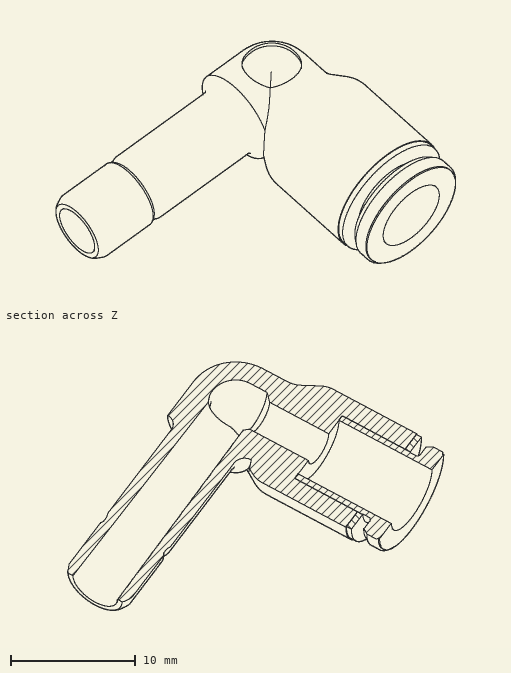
import cadquery as cq
import math


ELBOW_R = 3.97
PASSAGE_R = 2.18
PASSAGE_STRAIGHT = 1.58
NARROW_R = 1.5

STEM_R = 3.0
STEM_END = 20.95
STEM_BORE_MOUTH_R = 2.1
STEM_BORE_END_R = 1.87
COLLAR_END = 3.95
FLARE_R = ELBOW_R - STEM_R
GROOVE_R = 2.86
GROOVE_START = 14.32
GROOVE_FLOOR_START = 14.87
GROOVE_FLOOR_END = 15.2
GROOVE_END = 15.45
TIP_START = 20.18
TIP_EDGE_FILLET = 0.25
NOSE_START = 20.73
NOSE_R = 2.745
END_FACE_R = 2.55

RELIEF_DEPTH = 1.31
RELIEF_GROWTH = 0.53

BARREL_R = 5.32
BARREL_END = 13.85
SHOULDER_END = 5.88
SHOULDER_ANGLE = math.radians(30)
SHOULDER_BEND_R = 2.1
SOCKET_START = 7.88

RECESS_R = 2.4
RECESS_DEPTH = 0.3

CAP_R = 5.24
CAP_END = 14.32

COLLET_R = 3.52
COLLET_BORE_R = 3.02
BUTTON_START = 15.1
BUTTON_R = 4.97
BUTTON_BACK_R = 4.65
BUTTON_RIM_START = 15.6
BUTTON_FACE = 16.58
BUTTON_EDGE_R = 0.13
NECK_FILLET = 0.24
BAND_R = 4.78
BAND_END = 16.7


def revolve_x(profile):
    """Close an (x, radius) profile and turn it about the X axis."""
    return profile.close().revolve(360, (0, 0, 0), (1, 0, 0))


def revolve_y(profile):
    """Close a (radius, y) profile and turn it about the Y axis."""
    return profile.close().revolve(360, (0, 0, 0), (0, 1, 0))


def ring_x(start, end, outer_r, inner_r):
    """Plain ring along the X axis."""
    return cq.Workplane("YZ", origin=(start, 0, 0)).circle(outer_r).circle(inner_r).extrude(end - start)


def make_stem():
    """Collar, flare and grooved stem with a tapered, rounded end."""
    flare_mid = FLARE_R * math.sqrt(0.5)
    flare_end = COLLAR_END + FLARE_R
    groove_mid = ((STEM_R + GROOVE_R) / 2, -(GROOVE_START + GROOVE_FLOOR_START) / 2)
    profile = (
        cq.Workplane("XY")
        .lineTo(ELBOW_R, 0)
        .lineTo(ELBOW_R, -COLLAR_END)
        .threePointArc((ELBOW_R - flare_mid, -flare_end + flare_mid), (STEM_R, -flare_end))
        .lineTo(STEM_R, -GROOVE_START)
        .tangentArcPoint(groove_mid, relative=False)
        .tangentArcPoint((GROOVE_R, -GROOVE_FLOOR_START), relative=False)
        .lineTo(GROOVE_R, -GROOVE_FLOOR_END)
        .lineTo(STEM_R, -GROOVE_END)
        .lineTo(STEM_R, -TIP_START)
        .lineTo(NOSE_R, -NOSE_START)
        .tangentArcPoint((END_FACE_R, -STEM_END), relative=False)
        .lineTo(0, -STEM_END)
    )
    stem = revolve_y(profile)
    tip_edge = cq.selectors.BoxSelector(
        (-ELBOW_R, -TIP_START - 0.03, -ELBOW_R), (ELBOW_R, -TIP_START + 0.03, ELBOW_R)
    )
    return stem.edges(tip_edge).edges("%CIRCLE").fillet(TIP_EDGE_FILLET)


def make_barrel():
    """Arm along X that widens over a bent conical shoulder to the full barrel radius."""
    bend_run = SHOULDER_BEND_R * math.sin(SHOULDER_ANGLE)
    bend_rise = SHOULDER_BEND_R * (1 - math.cos(SHOULDER_ANGLE))
    cone_rise = BARREL_R - ELBOW_R - 2 * bend_rise
    cone_run = cone_rise / math.tan(SHOULDER_ANGLE)
    cone_end = SHOULDER_END - bend_run
    cone_start = cone_end - cone_run
    profile = (
        cq.Workplane("XY")
        .lineTo(0, ELBOW_R)
        .lineTo(cone_start - bend_run, ELBOW_R)
        .tangentArcPoint((cone_start, ELBOW_R + bend_rise), relative=False)
        .lineTo(cone_end, BARREL_R - bend_rise)
        .tangentArcPoint((SHOULDER_END, BARREL_R), relative=False)
        .lineTo(BARREL_END, BARREL_R)
        .lineTo(BARREL_END, 0)
    )
    return revolve_x(profile)


def make_relief():
    """Cone around the stem that clears the barrel shoulder from the flare."""
    profile = (
        cq.Workplane("XY")
        .moveTo(0, -COLLAR_END)
        .lineTo(ELBOW_R, -COLLAR_END)
        .lineTo(ELBOW_R + RELIEF_GROWTH, -COLLAR_END - RELIEF_DEPTH)
        .lineTo(0, -COLLAR_END - RELIEF_DEPTH)
    )
    return revolve_y(profile)


def make_recess():
    """Round recess whose floor runs parallel to the elbow surface."""
    floor_r = ELBOW_R - RECESS_DEPTH
    ball = cq.Workplane("XY").sphere(floor_r)
    socket_arm = cq.Workplane("YZ").circle(floor_r).extrude(ELBOW_R)
    stem_arm = cq.Workplane("XZ").circle(floor_r).extrude(ELBOW_R)
    plug = cq.Workplane("XY").circle(RECESS_R).extrude(BARREL_R)
    return plug.cut(ball).cut(socket_arm).cut(stem_arm)


def make_stem_bore():
    """Bore of the stem, tapering from its mouth to the corner."""
    profile = (
        cq.Workplane("XY")
        .lineTo(STEM_BORE_END_R, 0)
        .lineTo(STEM_BORE_MOUTH_R, -STEM_END)
        .lineTo(0, -STEM_END)
    )
    return revolve_y(profile)


def make_socket_bore():
    """Passage along X, its narrowing and the collet socket."""
    profile = (
        cq.Workplane("XY")
        .lineTo(0, PASSAGE_R)
        .lineTo(PASSAGE_STRAIGHT, PASSAGE_R)
        .lineTo(PASSAGE_STRAIGHT + PASSAGE_R - NARROW_R, NARROW_R)
        .lineTo(SOCKET_START, NARROW_R)
        .lineTo(SOCKET_START, COLLET_R)
        .lineTo(BARREL_END, COLLET_R)
        .lineTo(BARREL_END, 0)
    )
    return revolve_x(profile)


def make_housing():
    """Elbow body: stem, ball corner and barrel in one piece, bored through."""
    corner = cq.Workplane("XY").sphere(ELBOW_R)
    housing = make_barrel().cut(make_relief()).union(make_stem()).union(corner)
    housing = housing.cut(make_recess())
    corner_bore = cq.Workplane("XY").sphere(PASSAGE_R)
    return housing.cut(make_socket_bore()).cut(make_stem_bore()).cut(corner_bore)


def make_cap():
    """Ring that closes the barrel around the collet."""
    return ring_x(BARREL_END, CAP_END, CAP_R, COLLET_R)


def make_collet():
    """Release collet: sleeve in the socket with a push button outside."""
    edge_mid = BUTTON_EDGE_R * (1 - math.sqrt(0.5))
    profile = (
        cq.Workplane("XY")
        .moveTo(SOCKET_START, COLLET_BORE_R)
        .lineTo(SOCKET_START, COLLET_R)
        .lineTo(BUTTON_START - NECK_FILLET, COLLET_R)
        .tangentArcPoint((BUTTON_START, COLLET_R + NECK_FILLET), relative=False)
        .lineTo(BUTTON_START, BUTTON_BACK_R)
        .lineTo(BUTTON_RIM_START, BUTTON_R)
        .lineTo(BUTTON_FACE - BUTTON_EDGE_R, BUTTON_R)
        .threePointArc(
            (BUTTON_FACE - edge_mid, BUTTON_R - edge_mid), (BUTTON_FACE, BUTTON_R - BUTTON_EDGE_R)
        )
        .lineTo(BUTTON_FACE, BAND_R)
        .lineTo(BAND_END, BAND_R)
        .lineTo(BAND_END, COLLET_BORE_R)
    )
    return revolve_x(profile)


housing = make_housing()
cap = make_cap()
collet = make_collet()

result = cq.Compound.makeCompound([housing.val(), cap.val(), collet.val()])